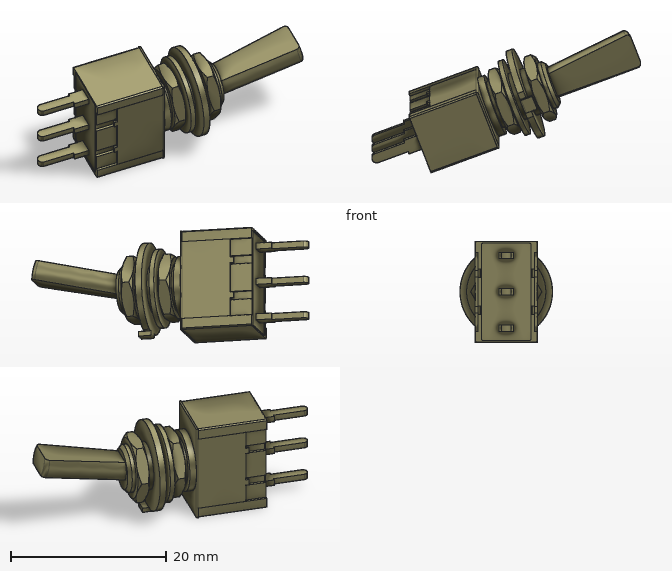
import cadquery as cq
import math


CASE_X = 8.0
CASE_Z = 13.0
CASE_BACK_Y = -9.45
CASE_BEVEL_X = 0.2
CASE_BEVEL_Z = 0.15
NOTCH_INNER_Z = 1.8
NOTCH_OUTER_Z = 2.9
NOTCH_WEB = 0.1

PLATE_T = 0.25
BEND_R = 0.2
ARM_T = 0.33
ARM_Z = 10.18
ARM_END_Y = -6.6
FINGER_LENGTH = 0.45
FINGER_INNER_Z = 1.93
FINGER_OUTER_Z = 2.73
COLLAR_D = 8.07
COLLAR_Y = 0.9
BUSHING_D = 6.32
BUSHING_TIP_D = 5.38
BUSHING_END_Y = 8.87

BASE_X = 6.4
BASE_Z = 12.55
BASE_CORNER_R = 0.2
BASE_RECESS = 0.1
BASE_DEPTH = 2.85
TERMINAL_PITCH = 4.7
TERMINAL_T = 0.8
TERMINAL_ROOT_X = 1.93
TERMINAL_PIN_X = 1.27
TERMINAL_STEP_Y = -11.35
TERMINAL_TIP_Y = -16.05
TERMINAL_TIP_ROUND = 0.55

LEVER_TILT = 12.4
LEVER_PIVOT_Y = 6.4
LEVER_REACH_Y = 20.3
LEVER_T = 2.55
LEVER_PIVOT_D = 3.85
LEVER_TIP_D = 5.2
LEVER_TIP_FILLET = 0.5

NUT_FLATS = 7.95
NUT_T = 1.55
NUT_CHAMFER_ANGLE = 30.0
NUT_BACK_YS = (1.4, 6.32)
WASHER_D = 10.2
WASHER_T = 0.6
WASHER_BACK_Y = 3.25
LOCK_RING_D = 11.95
LOCK_RING_T = 0.85
LOCK_RING_BACK_Y = 4.65
LOCK_TAB_TOP_Z = -5.7
LOCK_TAB_X = 1.8
LOCK_TAB_T = 0.6
LOCK_TAB_LENGTH = 1.67
LOCK_TAB_BEND_R = 0.18


def block(x0, x1, y0, y1, z0, z1):
    """Axis-aligned box between two opposite corners."""
    return cq.Workplane("XY").box(x1 - x0, y1 - y0, z1 - z0, centered=False).translate((x0, y0, z0))


def disc(diameter, y0, y1):
    """Solid cylinder on the bushing axis."""
    return cq.Workplane("XZ", origin=(0, y0, 0)).circle(diameter / 2).extrude(y0 - y1)


def make_lever():
    """Tapered bar with flats, turned about its pivot on the bushing axis."""
    tilt = math.radians(LEVER_TILT)
    tip_drop = LEVER_T / 2 * math.sin(tilt)
    length = (LEVER_REACH_Y - LEVER_PIVOT_Y - tip_drop) / math.cos(tilt)
    cone = (
        cq.Workplane("XY")
        .polyline([(0, 0), (LEVER_PIVOT_D / 2, 0), (LEVER_TIP_D / 2, length), (0, length)])
        .close()
        .revolve(360, (0, 0), (0, 1))
        .faces(">Y")
        .edges()
        .fillet(LEVER_TIP_FILLET)
    )
    flats = cq.Workplane("XY").box(LEVER_TIP_D, 2 * length, LEVER_T)
    lever = cone.intersect(flats)
    return lever.rotate((0, 0, 0), (1, 0, 0), LEVER_TILT).translate((0, LEVER_PIVOT_Y, 0))


def make_arm(side):
    """Side arm of the frame with its two locking fingers; side is -1 or 1."""
    x0, x1 = sorted((side * (CASE_X / 2 - ARM_T), side * CASE_X / 2))
    arm = block(x0, x1, ARM_END_Y, -PLATE_T, -ARM_Z / 2, ARM_Z / 2)
    finger_y = ARM_END_Y - FINGER_LENGTH
    for z0, z1 in ((FINGER_INNER_Z, FINGER_OUTER_Z), (-FINGER_OUTER_Z, -FINGER_INNER_Z)):
        arm = arm.union(block(x0, x1, finger_y, ARM_END_Y, z0, z1))
    return arm


def make_frame(lever):
    """Frame plate, arms and bushing, with a hole that fits the lever."""
    plate = block(-CASE_X / 2, CASE_X / 2, -PLATE_T, 0, -CASE_Z / 2, CASE_Z / 2)
    bushing = disc(BUSHING_D, 0, BUSHING_END_Y)
    bushing = bushing.faces(">Y").chamfer((BUSHING_D - BUSHING_TIP_D) / 2)
    frame = plate.union(make_arm(-1)).union(make_arm(1))
    frame = frame.faces(">Y").edges("|Z").fillet(BEND_R)
    frame = frame.union(disc(COLLAR_D, 0, COLLAR_Y)).union(bushing)
    return frame.cut(lever)


def base_block(back_y):
    """Rounded block from the pocket floor of the case to back_y."""
    front_y = CASE_BACK_Y + BASE_DEPTH
    base = block(-BASE_X / 2, BASE_X / 2, back_y, front_y, -BASE_Z / 2, BASE_Z / 2)
    return base.edges("|Y").fillet(BASE_CORNER_R)


def make_case():
    """Bevelled box with grooves for the arms, notches for the fingers and a pocket for the base."""
    half_x = CASE_X / 2
    half_z = CASE_Z / 2
    right_top = [(half_x, half_z - CASE_BEVEL_Z), (half_x - CASE_BEVEL_X, half_z)]
    left_top = [(-x, z) for x, z in reversed(right_top)]
    bottom = [(-x, -z) for x, z in right_top + left_top]
    case = (
        cq.Workplane("XZ", origin=(0, -PLATE_T, 0))
        .polyline(right_top + left_top + bottom)
        .close()
        .extrude(-PLATE_T - CASE_BACK_Y)
    )
    arm_floor_x = half_x - ARM_T
    notch_floor_x = BASE_X / 2 + NOTCH_WEB
    for side in (-1, 1):
        x0, x1 = sorted((side * arm_floor_x, side * half_x))
        case = case.cut(block(x0, x1, CASE_BACK_Y, -PLATE_T, -ARM_Z / 2, ARM_Z / 2))
        x0, x1 = sorted((side * notch_floor_x, side * half_x))
        for z0, z1 in ((NOTCH_INNER_Z, NOTCH_OUTER_Z), (-NOTCH_OUTER_Z, -NOTCH_INNER_Z)):
            case = case.cut(block(x0, x1, CASE_BACK_Y, ARM_END_Y, z0, z1))
    return case.cut(base_block(CASE_BACK_Y))


def make_terminal(z):
    """Flat terminal with a wide root and a round-ended pin, centred at height z."""
    root = TERMINAL_ROOT_X / 2
    pin = TERMINAL_PIN_X / 2
    root_y = CASE_BACK_Y + BASE_RECESS
    arc_y = TERMINAL_TIP_Y + TERMINAL_TIP_ROUND
    return (
        cq.Workplane("XY", origin=(0, 0, z - TERMINAL_T / 2))
        .moveTo(-root, root_y)
        .lineTo(-root, TERMINAL_STEP_Y)
        .lineTo(-pin, TERMINAL_STEP_Y)
        .lineTo(-pin, arc_y)
        .threePointArc((0, TERMINAL_TIP_Y), (pin, arc_y))
        .lineTo(pin, TERMINAL_STEP_Y)
        .lineTo(root, TERMINAL_STEP_Y)
        .lineTo(root, root_y)
        .close()
        .extrude(TERMINAL_T)
    )


def make_terminal_base():
    """Inset base with its row of three terminals."""
    base = base_block(CASE_BACK_Y + BASE_RECESS)
    for row in (-1, 0, 1):
        base = base.union(make_terminal(row * TERMINAL_PITCH))
    return base


def make_nut(back_y):
    """Hex nut with flats on +-Z and its corners bevelled on both faces."""
    corner_d = NUT_FLATS / math.cos(math.pi / 6)
    bevel = (corner_d - NUT_FLATS) / 2 * math.tan(math.radians(NUT_CHAMFER_ANGLE))
    r_face = NUT_FLATS / 2
    r_corner = corner_d / 2
    side = [(r_face, 0), (r_corner, bevel), (r_corner, NUT_T - bevel), (r_face, NUT_T)]
    profile = [(0, 0), *side, (0, NUT_T)]
    prism = cq.Workplane("XZ").polygon(6, corner_d).extrude(-NUT_T)
    bevelled_disc = (
        cq.Workplane("XY")
        .polyline(profile)
        .close()
        .revolve(360, (0, 0), (0, 1))
    )
    nut = prism.intersect(bevelled_disc).translate((0, back_y, 0))
    return nut.cut(disc(BUSHING_D, back_y, back_y + NUT_T))


def make_washer():
    """Plain washer between the nuts."""
    front_y = WASHER_BACK_Y + WASHER_T
    return disc(WASHER_D, WASHER_BACK_Y, front_y).cut(disc(BUSHING_D, WASHER_BACK_Y, front_y))


def make_lock_ring():
    """Ring whose lower rim is bent forward into a locating tab."""
    back_y = LOCK_RING_BACK_Y
    front_y = back_y + LOCK_RING_T
    ring_r = LOCK_RING_D / 2
    tab_half_x = LOCK_TAB_X / 2
    tab_end_y = back_y + LOCK_TAB_LENGTH
    tab_bottom_z = LOCK_TAB_TOP_Z - LOCK_TAB_T
    ring = disc(LOCK_RING_D, back_y, front_y).cut(disc(BUSHING_D, back_y, front_y))
    ring = ring.cut(block(-ring_r, ring_r, back_y, front_y, -ring_r, LOCK_TAB_TOP_Z))
    tab = block(-tab_half_x, tab_half_x, back_y, tab_end_y, tab_bottom_z, LOCK_TAB_TOP_Z)
    tab = tab.faces("<Y").edges("<Z").fillet(LOCK_TAB_BEND_R)
    return ring.union(tab)


lever = make_lever()
frame = make_frame(lever)
case = make_case()
terminal_base = make_terminal_base()
nuts = [make_nut(back_y) for back_y in NUT_BACK_YS]
washer = make_washer()
lock_ring = make_lock_ring()

result = cq.Compound.makeCompound(
    [
        lever.val(),
        frame.val(),
        case.val(),
        terminal_base.val(),
        *[nut.val() for nut in nuts],
        washer.val(),
        lock_ring.val(),
    ]
)